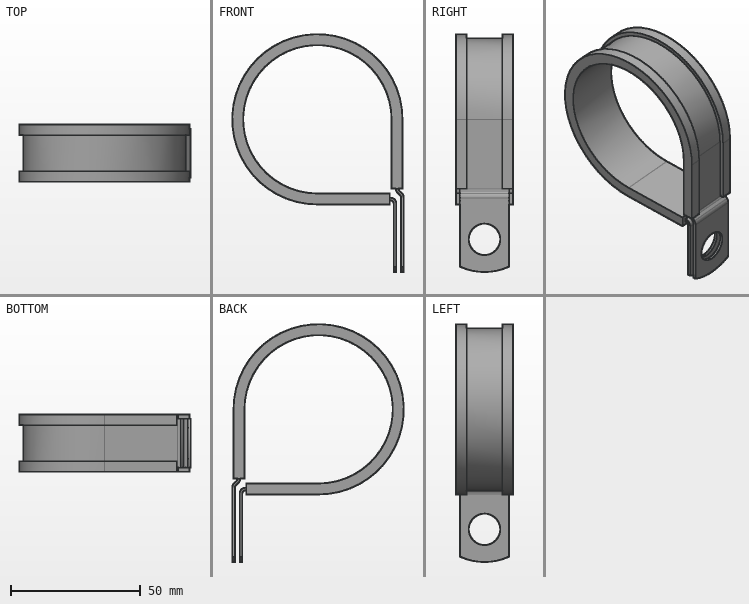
import cadquery as cq
import math

outer_radius = 32.8
cushion_thickness = 4.3
cushion_width = 22.1
flange_width = 4.1
groove_depth = 1.6
upper_leg_end_z = -26.65
lower_leg_end_x = 27.9

strap_thickness = 1.1
strap_width = 18.9
bend_radius = 1.2
joggle_angle = math.radians(45)
outer_tab_face_x = 33.2
inner_tab_face_x = 30.4
tab_end_z = -58.8
tab_end_rise = 2.1
hole_diameter = 12.0
hole_height = 12.6

groove_width = cushion_width - 2 * flange_width
groove_floor_radius = outer_radius - groove_depth
half_thickness = strap_thickness / 2
strap_radius = groove_floor_radius - half_thickness
bend_center_radius = bend_radius + half_thickness
outer_tab_x = outer_tab_face_x - half_thickness
inner_tab_x = inner_tab_face_x - half_thickness


def loop_solid(radius, width):
    """Disc extended by its two legs, which run down and to the right; centred on Y."""
    half_disc_point = radius * math.sqrt(0.5)
    return (
        cq.Workplane("XZ")
        .moveTo(0, -radius)
        .threePointArc((-half_disc_point, half_disc_point), (radius, 0))
        .lineTo(radius, upper_leg_end_z)
        .lineTo(lower_leg_end_x, upper_leg_end_z)
        .lineTo(lower_leg_end_x, -radius)
        .close()
        .extrude(width / 2, both=True)
    )


def make_cushion():
    inner_radius = outer_radius - cushion_thickness
    body = loop_solid(outer_radius, cushion_width)
    groove = body.cut(loop_solid(groove_floor_radius, cushion_width))
    groove = groove.intersect(cq.Workplane("XY").box(4 * outer_radius, groove_width, 4 * outer_radius))
    diagonal = inner_radius * math.sqrt(0.5)
    opening = (
        cq.Workplane("XZ")
        .moveTo(0, -inner_radius)
        .threePointArc((-diagonal, diagonal), (inner_radius, 0))
        .lineTo(inner_radius, -inner_radius)
        .close()
        .extrude(cushion_width, both=True)
    )
    return body.cut(groove).cut(opening)


def strap_path():
    """Centreline from the inner tab, around the loop, to the outer tab."""
    bend_rise = bend_center_radius * math.sin(joggle_angle)
    bend_shift = bend_center_radius * (1 - math.cos(joggle_angle))
    joggle_run = outer_tab_x - strap_radius - 2 * bend_shift
    joggle_start_x = strap_radius + bend_shift
    joggle_start_z = upper_leg_end_z - bend_rise
    joggle_end_z = joggle_start_z - joggle_run / math.tan(joggle_angle)
    loop_diagonal = strap_radius * math.sqrt(0.5)
    return (
        cq.Workplane("XZ")
        .moveTo(inner_tab_x, tab_end_z)
        .lineTo(inner_tab_x, -strap_radius - bend_center_radius)
        .tangentArcPoint((inner_tab_x - bend_center_radius, -strap_radius), relative=False)
        .lineTo(0, -strap_radius)
        .threePointArc((-loop_diagonal, loop_diagonal), (strap_radius, 0))
        .lineTo(strap_radius, upper_leg_end_z)
        .tangentArcPoint((joggle_start_x, joggle_start_z), relative=False)
        .lineTo(joggle_start_x + joggle_run, joggle_end_z)
        .tangentArcPoint((outer_tab_x, joggle_end_z - bend_rise), relative=False)
        .lineTo(outer_tab_x, tab_end_z)
    )


def make_strap():
    strap = (
        cq.Workplane("XY", origin=(inner_tab_x, 0, tab_end_z))
        .rect(strap_thickness, strap_width)
        .sweep(strap_path())
    )
    tab_corner_z = tab_end_z + tab_end_rise
    half_width = strap_width / 2
    end_waste = (
        cq.Workplane("YZ")
        .moveTo(-half_width, tab_corner_z)
        .threePointArc((0, tab_end_z), (half_width, tab_corner_z))
        .lineTo(half_width, tab_end_z - tab_end_rise)
        .lineTo(-half_width, tab_end_z - tab_end_rise)
        .close()
        .extrude(2 * outer_radius)
    )
    bolt_hole = (
        cq.Workplane("YZ")
        .center(0, tab_end_z + hole_height)
        .circle(hole_diameter / 2)
        .extrude(2 * outer_radius)
    )
    return strap.cut(end_waste).cut(bolt_hole)


result = make_cushion().union(make_strap())